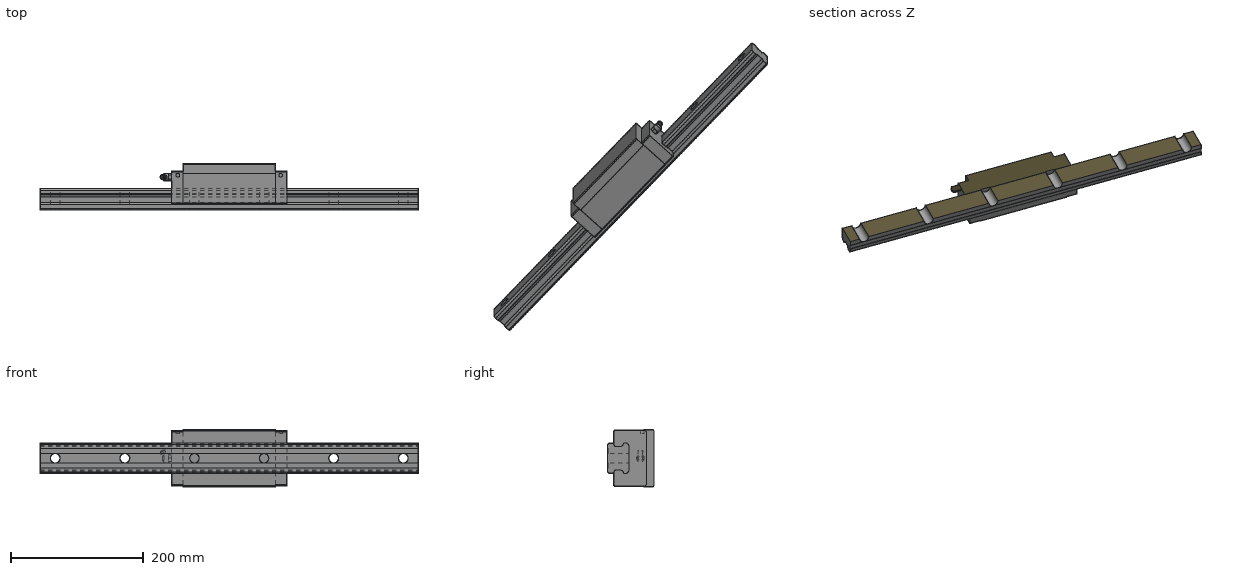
import cadquery as cq
import math

RAIL_LENGTH = 570.0
RAIL_HEIGHT = 32.5
RAIL_HALF_WIDTH = 23.0
RAIL_CROWN_HALF_WIDTH = 19.5
RAIL_CROWN_CHAMFER_Y = 29.0
RAIL_LIP_Y = 24.5
BALL_GROOVE_TOP_Y = 23.5
BALL_GROOVE_TOP_Z = 20.0
BALL_GROOVE_BOTTOM_Y = 20.0
BALL_GROOVE_SAG = 0.15
RAIL_NECK_HALF_WIDTH = 17.5
RAIL_NECK_BOTTOM_Y = 11.5
RAIL_FOOT_TOP_Y = 8.5
RAIL_FOOT_CHAMFER = 2.0

RELIEF_OUTER_Z = 15.0
RELIEF_INNER_Z = 7.5
RELIEF_DEPTH = 0.35

BOLT_HOLE_COUNT = 6
BOLT_HOLE_PITCH = 105.0
BOLT_HOLE_DIAMETER = 14.0

CARRIAGE_TOP_Y = 70.0
CARRIAGE_BOTTOM_Y = 9.0
BLOCK_LENGTH = 139.0
BLOCK_WIDTH = 86.0
BLOCK_SHOULDER_Y = 55.0
BLOCK_LOWER_WIDTH = 85.0
BLOCK_EDGE_CHAMFER = 1.5

CAP_OUTER_LENGTH = 173.0
CAP_WIDTH = 83.0
CAP_TOP_Y = 58.5
CAP_EDGE_CHAMFER = 1.5
OIL_HOLE_DIAMETER = 5.5
OIL_HOLE_DEPTH = 4.5
OIL_HOLE_X = 77.5
OIL_HOLE_Y = 52.5

NIPPLE_Y = 49.5
NIPPLE_HEX_CORNERS = 11.5
NIPPLE_HEX_LENGTH = 5.0
NIPPLE_BODY_DIAMETER = 11.5
NIPPLE_BODY_LENGTH = 8.5
NIPPLE_BODY_CHAMFER = 2.0
SPOUT_START = 8.0
SPOUT_TILT = 60.0
SPOUT_LENGTH = 13.0
SPOUT_NECK_DIAMETER = 7.0
SPOUT_HEAD_DIAMETER = 8.0
SPOUT_HEAD_LENGTH = 4.0
SPOUT_HEAD_CHAMFER = 1.0


def box_along_x(length, width, bottom_y, top_y):
    """Box centred on X and Z, reaching from bottom_y to top_y."""
    return cq.Workplane("XY").box(length, top_y - bottom_y, width).translate((0, (bottom_y + top_y) / 2, 0))


def rail_outline():
    """Solid outline of the rail, without its holes and mounting-face reliefs."""
    groove_middle_y = (BALL_GROOVE_TOP_Y + BALL_GROOVE_BOTTOM_Y) / 2
    groove_middle_z = (BALL_GROOVE_TOP_Z + RAIL_NECK_HALF_WIDTH) / 2 - BALL_GROOVE_SAG
    return (
        cq.Workplane("YZ")
        .moveTo(0, 0)
        .lineTo(0, RAIL_HALF_WIDTH - RAIL_FOOT_CHAMFER)
        .lineTo(RAIL_FOOT_CHAMFER, RAIL_HALF_WIDTH)
        .lineTo(RAIL_FOOT_TOP_Y, RAIL_HALF_WIDTH)
        .lineTo(RAIL_NECK_BOTTOM_Y, RAIL_NECK_HALF_WIDTH)
        .lineTo(BALL_GROOVE_BOTTOM_Y, RAIL_NECK_HALF_WIDTH)
        .threePointArc((groove_middle_y, groove_middle_z), (BALL_GROOVE_TOP_Y, BALL_GROOVE_TOP_Z))
        .lineTo(RAIL_LIP_Y, RAIL_HALF_WIDTH)
        .lineTo(RAIL_CROWN_CHAMFER_Y, RAIL_HALF_WIDTH)
        .lineTo(RAIL_HEIGHT, RAIL_CROWN_HALF_WIDTH)
        .lineTo(RAIL_HEIGHT, 0)
        .mirrorX()
        .extrude(RAIL_LENGTH / 2, both=True)
    )


def mounting_face_reliefs():
    """Two shallow reliefs in the mounting face, beside the strip that holds the bolt holes."""
    upper = (
        cq.Workplane("YZ")
        .moveTo(0, RELIEF_INNER_Z)
        .lineTo(0, RELIEF_OUTER_Z)
        .lineTo(RELIEF_DEPTH, RELIEF_OUTER_Z - RELIEF_DEPTH)
        .lineTo(RELIEF_DEPTH, RELIEF_INNER_Z)
        .close()
        .extrude(RAIL_LENGTH / 2, both=True)
    )
    return upper.union(upper.mirror("XY"))


def make_rail():
    """Rail with its row of through bolt holes."""
    bolt_holes = (
        cq.Workplane("XZ")
        .rarray(BOLT_HOLE_PITCH, 5.5, BOLT_HOLE_COUNT, 1)
        .circle(BOLT_HOLE_DIAMETER / 2)
        .extrude(-RAIL_HEIGHT)
    )
    return rail_outline().cut(mounting_face_reliefs()).cut(bolt_holes)


def make_carriage():
    """Block with a cap at each end, and a channel that follows the rail."""
    upper = box_along_x(BLOCK_LENGTH, BLOCK_WIDTH, BLOCK_SHOULDER_Y, CARRIAGE_TOP_Y)
    upper = upper.faces(">Y").edges("|X").chamfer(BLOCK_EDGE_CHAMFER)
    lower = box_along_x(BLOCK_LENGTH, BLOCK_LOWER_WIDTH, CARRIAGE_BOTTOM_Y, BLOCK_SHOULDER_Y)
    lower = lower.faces("<Y").edges("|X").chamfer(BLOCK_EDGE_CHAMFER)
    caps = box_along_x(CAP_OUTER_LENGTH, CAP_WIDTH, CARRIAGE_BOTTOM_Y, CAP_TOP_Y)
    caps = caps.edges("|X").chamfer(CAP_EDGE_CHAMFER)
    oil_holes = (
        cq.Workplane("XY")
        .workplane(offset=CAP_WIDTH / 2)
        .pushPoints([(side * OIL_HOLE_X, OIL_HOLE_Y) for side in (-1, 1)])
        .circle(OIL_HOLE_DIAMETER / 2)
        .extrude(-OIL_HOLE_DEPTH)
    )
    return caps.union(lower).union(upper).cut(oil_holes).cut(rail_outline())


def make_nipple():
    """Hexagon against the -X cap, a round body, and a tilted spout with a collared head."""
    seat_x = -CAP_OUTER_LENGTH / 2
    hexagon = (
        cq.Workplane("YZ", origin=(seat_x, NIPPLE_Y, 0))
        .polygon(6, NIPPLE_HEX_CORNERS)
        .extrude(-NIPPLE_HEX_LENGTH)
    )
    body = (
        cq.Workplane("YZ", origin=(seat_x - NIPPLE_HEX_LENGTH, NIPPLE_Y, 0))
        .circle(NIPPLE_BODY_DIAMETER / 2)
        .extrude(-NIPPLE_BODY_LENGTH)
        .faces("<X")
        .chamfer(NIPPLE_BODY_CHAMFER)
    )
    tilt = math.radians(SPOUT_TILT)
    spout_plane = cq.Plane(
        origin=(seat_x - SPOUT_START, NIPPLE_Y, 0),
        xDir=(0, 1, 0),
        normal=(-math.cos(tilt), 0, math.sin(tilt)),
    )
    neck_length = SPOUT_LENGTH - SPOUT_HEAD_LENGTH
    neck = cq.Workplane(spout_plane).circle(SPOUT_NECK_DIAMETER / 2).extrude(neck_length)
    head = (
        cq.Workplane(spout_plane)
        .workplane(offset=neck_length)
        .circle(SPOUT_HEAD_DIAMETER / 2)
        .extrude(SPOUT_HEAD_LENGTH)
        .faces(cq.selectors.DirectionMinMaxSelector(spout_plane.zDir, True))
        .chamfer(SPOUT_HEAD_CHAMFER)
    )
    return hexagon.union(body).union(neck).union(head)


rail = make_rail().solids()
carriage = make_carriage().solids()
nipple = make_nipple().solids()

result = cq.Compound.makeCompound([rail.val(), carriage.val(), nipple.val()])